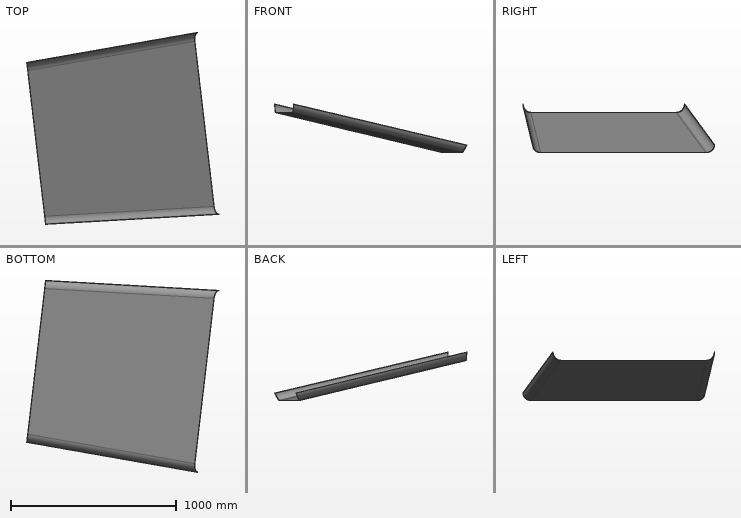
import cadquery as cq
import math

SLOPE = 13.32
YAW = 6.64
FLOOR_LENGTH = 1050.2
UPPER_WIDTH = 884.4
LOWER_WIDTH = 1003.6
RIM_RADIUS = 50.0
THICKNESS = 2.0
END_FLARE = 13.36

SIDE_TAPER = (LOWER_WIDTH - UPPER_WIDTH) / 2 / FLOOR_LENGTH
SIDE_ANGLE = math.degrees(math.atan(SIDE_TAPER))
FLARE_REACH = RIM_RADIUS * math.tan(math.radians(END_FLARE))
OVERRUN = 2 * RIM_RADIUS


def half_width(distance):
    """Half of the flat floor width at a distance from the upper end."""
    return UPPER_WIDTH / 2 + distance * SIDE_TAPER


def floor_plate():
    """Flat trapezoid that widens towards the lower end."""
    start = -OVERRUN
    end = FLOOR_LENGTH + OVERRUN
    corners = [
        (start, -half_width(start)),
        (end, -half_width(end)),
        (end, half_width(end)),
        (start, half_width(start)),
    ]
    return cq.Workplane("XY").polyline(corners).close().extrude(THICKNESS)


def side_rim():
    """Quarter-round side along the +Y edge of the floor, tangent to it."""
    inner_radius = RIM_RADIUS - THICKNESS
    diagonal = math.sqrt(0.5)
    outer_middle = (RIM_RADIUS * diagonal, RIM_RADIUS - RIM_RADIUS * diagonal)
    inner_middle = (inner_radius * diagonal, RIM_RADIUS - inner_radius * diagonal)
    rim = (
        cq.Workplane("YZ", origin=(-OVERRUN, 0, 0))
        .threePointArc(outer_middle, (RIM_RADIUS, RIM_RADIUS))
        .lineTo(inner_radius, RIM_RADIUS)
        .threePointArc(inner_middle, (0, THICKNESS))
        .close()
        .extrude(FLOOR_LENGTH + 2 * OVERRUN)
    )
    return rim.rotate((0, 0, 0), (0, 0, 1), SIDE_ANGLE).translate((0, UPPER_WIDTH / 2, 0))


def end_trim():
    """Block bounded by the two outward-leaning end planes."""
    outline = [
        (0, 0),
        (FLOOR_LENGTH, 0),
        (FLOOR_LENGTH + FLARE_REACH, RIM_RADIUS),
        (-FLARE_REACH, RIM_RADIUS),
    ]
    return cq.Workplane("XZ").polyline(outline).close().extrude(LOWER_WIDTH, both=True)


rim = side_rim()
tray = floor_plate().union(rim).union(rim.mirror("XZ")).intersect(end_trim())
tilted = tray.rotate((0, 0, 0), (0, 1, 0), SLOPE)
turned = tilted.rotate((0, 0, 0), (0, 0, 1), YAW)
result = turned.translate(-turned.val().BoundingBox().center)